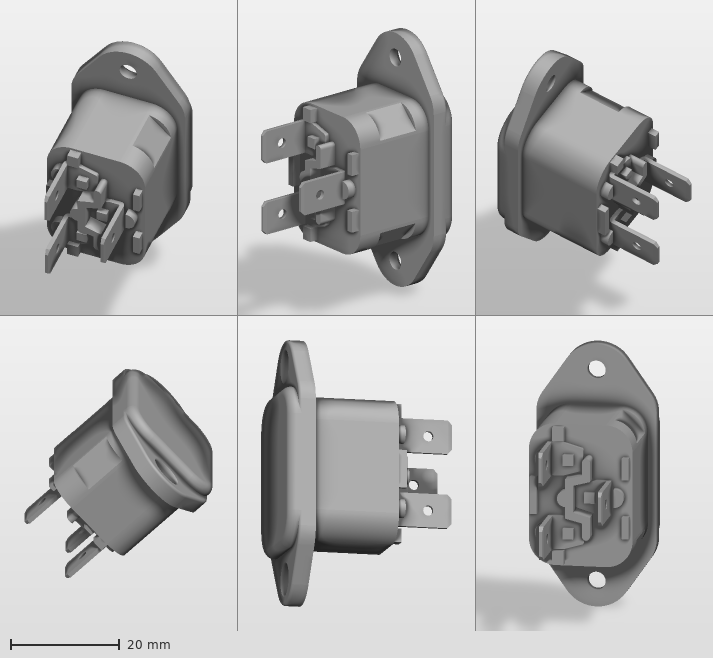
import cadquery as cq
import math


width = 22.5
height = 49.75
flange_thickness = 3.2
flange_edge_radius = 0.5
flange_end_radius = 6.75
flange_corner_radius = 5.95
flange_straight_half = 11.95
mount_hole_diameter = 3.45
countersink_depth = 1.45
mount_hole_z = 20.0

bezel_height = 30.15
bezel_thickness = 5.15
bezel_corner_radius = 5.95
bezel_edge_radius = 1.55

body_width = 19.4
body_height = 26.85
body_length = 16.15
body_corner_radius = 4.98
flat_leg = 4.4
flat_start = 3.0
flat_length = 8.4

pad_height = 1.65
end_pad_width = 2.15
end_pad_length = 2.6
end_pad_x = -4.0
end_pad_z = 11.7
side_pad_width = 1.3
side_pad_x = 8.6
long_pad_length = 7.05
short_pad_length = 4.1
short_pad_z = 5.55
round_pad_radius = 1.75
round_pad_x = 6.55
round_pad_flat_x = 6.45

wall_height = 3.45
wall_outer_x = 2.35
wall_inner_x = 0.9
wall_arm_end_z = 7.75
wall_arm_outer_z = 3.4
wall_arm_inner_z = 4.55
wall_bridge_left_x = -2.3
wall_bridge_right_x = -0.8
wall_bridge_outer_z = 3.75
wall_bridge_inner_z = 2.55
wall_bulge_radius = 1.55

terminal_pitch = 6.95
terminal_width = 6.3
terminal_thickness = 0.85
terminal_gap = 0.15
terminal_foot_length = 6.7
terminal_bend_radius = 0.85
terminal_tip_y = 27.1
terminal_tip_chamfer = 0.8
terminal_tip_bevel = 0.15
terminal_hole_diameter = 1.9
terminal_hole_y = 22.65
taper_start = 2.9
taper_end_width = 4.1
taper_corner_radius = 0.5
terminal_x = 5.9
upper_terminal_x = 6.05

post_size = 2.0
post_height = 2.25
post_x = 2.0


def prism(start_y, length, outline):
    """Extrude an XZ outline from y = start_y toward -Y; a negative length goes toward +Y."""
    workplane = cq.Workplane("XZ", origin=(0, start_y, 0))
    return outline(workplane).extrude(length)


def rear_block(size_x, size_z, depth, x, z):
    """Rectangular block standing on the rear face of the body."""
    return prism(-body_length, depth, lambda wp: wp.center(x, z).rect(size_x, size_z))


def flange():
    corner_x = width / 2 - flange_corner_radius
    end_z = height / 2 - flange_end_radius
    delta_z = end_z - flange_straight_half
    angle = math.atan2(delta_z, corner_x)
    distance = math.hypot(corner_x, delta_z)
    normal = math.acos((flange_end_radius - flange_corner_radius) / distance) - angle

    def on_corner(theta):
        return (
            corner_x + flange_corner_radius * math.cos(theta),
            flange_straight_half + flange_corner_radius * math.sin(theta),
        )

    end_point = (flange_end_radius * math.cos(normal), end_z + flange_end_radius * math.sin(normal))
    corner_end = on_corner(normal)
    corner_mid = on_corner(normal / 2)

    def outline(wp):
        return (
            wp.moveTo(width / 2, -flange_straight_half)
            .lineTo(width / 2, flange_straight_half)
            .threePointArc(corner_mid, corner_end)
            .lineTo(*end_point)
            .threePointArc((0, height / 2), (-end_point[0], end_point[1]))
            .lineTo(-corner_end[0], corner_end[1])
            .threePointArc((-corner_mid[0], corner_mid[1]), (-width / 2, flange_straight_half))
            .lineTo(-width / 2, -flange_straight_half)
            .threePointArc((-corner_mid[0], -corner_mid[1]), (-corner_end[0], -corner_end[1]))
            .lineTo(-end_point[0], -end_point[1])
            .threePointArc((0, -height / 2), (end_point[0], -end_point[1]))
            .lineTo(corner_end[0], -corner_end[1])
            .threePointArc((corner_mid[0], -corner_mid[1]), (width / 2, -flange_straight_half))
            .close()
        )

    plate = prism(0, -flange_thickness, outline)
    return plate.faces(">Y").edges().fillet(flange_edge_radius)


def mount_hole(z):
    """Through hole with a 90 degree countersink on the +Y face of the flange."""
    radius = mount_hole_diameter / 2
    sink_radius = radius + countersink_depth
    profile = [
        (0, 0),
        (radius, 0),
        (radius, flange_thickness - countersink_depth),
        (sink_radius, flange_thickness),
        (0, flange_thickness),
    ]
    hole = cq.Workplane("XY").polyline(profile).close().revolve(360, (0, 0), (0, 1))
    return hole.translate((0, 0, z))


def bezel():
    block = prism(0, -bezel_thickness, lambda wp: wp.rect(width, bezel_height))
    rounded = block.edges("|Y").fillet(bezel_corner_radius)
    return rounded.faces(">Y").edges().fillet(bezel_edge_radius)


def body():
    block = prism(0, body_length, lambda wp: wp.rect(body_width, body_height))
    block = block.edges("|Y").fillet(body_corner_radius)
    x = body_width / 2
    for side in (1, -1):
        z = side * body_height / 2
        corner = [(x, z), (x - flat_leg, z), (x, z - side * flat_leg)]
        block = block.cut(prism(-flat_start, flat_length, lambda wp: wp.polyline(corner).close()))
    return block


def round_pad(side, z):
    """Half-round pad on the given X side (1 or -1), flat toward the terminal."""
    center_x = side * round_pad_x
    disc = prism(-body_length, pad_height, lambda wp: wp.center(center_x, z).circle(round_pad_radius))
    span = 2 * round_pad_radius
    keep = rear_block(span, span, pad_height, side * (round_pad_flat_x + span / 2), z)
    return disc.intersect(keep)


def pads():
    solids = [rear_block(side_pad_width, long_pad_length, pad_height, -side_pad_x, 0), round_pad(1, 0)]
    for side in (1, -1):
        end_z = side * end_pad_z
        short_z = side * short_pad_z
        solids.append(rear_block(end_pad_width, end_pad_length, pad_height, end_pad_x, end_z))
        solids.append(rear_block(side_pad_width, short_pad_length, pad_height, side_pad_x, short_z))
        solids.append(round_pad(-1, side * terminal_pitch))
    return solids


def insulating_wall():
    arm_radius = (wall_outer_x - wall_inner_x) / 2
    arm_x = (wall_outer_x + wall_inner_x) / 2
    arm_tangent_z = wall_arm_end_z - arm_radius

    def outline(wp):
        return (
            wp.moveTo(wall_bridge_right_x, -wall_bridge_inner_z)
            .lineTo(wall_bridge_right_x, wall_bridge_inner_z)
            .lineTo(wall_outer_x, wall_arm_outer_z)
            .lineTo(wall_outer_x, arm_tangent_z)
            .threePointArc((arm_x, wall_arm_end_z), (wall_inner_x, arm_tangent_z))
            .lineTo(wall_inner_x, wall_arm_inner_z)
            .lineTo(wall_bridge_left_x, wall_bridge_outer_z)
            .lineTo(wall_bridge_left_x, wall_bulge_radius)
            .threePointArc(
                (wall_bridge_left_x - wall_bulge_radius, 0), (wall_bridge_left_x, -wall_bulge_radius)
            )
            .lineTo(wall_bridge_left_x, -wall_bridge_outer_z)
            .lineTo(wall_inner_x, -wall_arm_inner_z)
            .lineTo(wall_inner_x, -arm_tangent_z)
            .threePointArc((arm_x, -wall_arm_end_z), (wall_outer_x, -arm_tangent_z))
            .lineTo(wall_outer_x, -wall_arm_outer_z)
            .close()
        )

    return prism(-body_length, wall_height, outline)


def terminal():
    """L-shaped blade terminal with the outside of its leg at x = 0 and its foot toward +X."""
    foot_y = -body_length - terminal_gap
    foot_inner_y = foot_y - terminal_thickness
    bevel_y = -terminal_tip_y + terminal_tip_chamfer
    half_width = terminal_width / 2

    side_profile = [
        (0, foot_y),
        (terminal_foot_length, foot_y),
        (terminal_foot_length, foot_inner_y),
        (terminal_thickness, foot_inner_y),
        (terminal_thickness, bevel_y),
        (terminal_thickness - terminal_tip_bevel, -terminal_tip_y),
        (terminal_tip_bevel, -terminal_tip_y),
        (0, bevel_y),
    ]
    strip = cq.Workplane("XY").polyline(side_profile).close().extrude(half_width, both=True)
    strip = strip.edges("|Z and <X and >Y").fillet(terminal_bend_radius)

    foot_outline = [
        (0, half_width),
        (taper_start, half_width),
        (terminal_foot_length, taper_end_width / 2),
        (terminal_foot_length, -taper_end_width / 2),
        (taper_start, -half_width),
        (0, -half_width),
    ]
    tapered = prism(0, terminal_tip_y, lambda wp: wp.polyline(foot_outline).close())
    tapered = tapered.edges("|Y and >X").fillet(taper_corner_radius)

    tip_y = -terminal_tip_y
    leg_outline = [
        (foot_y, half_width),
        (bevel_y, half_width),
        (tip_y, half_width - terminal_tip_chamfer),
        (tip_y, terminal_tip_chamfer - half_width),
        (bevel_y, -half_width),
        (foot_y, -half_width),
    ]
    chamfered = cq.Workplane("YZ").polyline(leg_outline).close().extrude(terminal_foot_length)

    blade = strip.intersect(tapered).intersect(chamfered)
    hole = (
        cq.Workplane("YZ")
        .center(-terminal_hole_y, 0)
        .circle(terminal_hole_diameter / 2)
        .extrude(terminal_thickness)
    )
    foot_slot = rear_block(post_size, post_size, post_height, terminal_x - post_x, 0)
    return blade.cut(hole).cut(foot_slot)


def terminals_and_posts():
    blade = terminal()
    solids = [
        blade.translate((-upper_terminal_x, 0, terminal_pitch)),
        blade.translate((-terminal_x, 0, -terminal_pitch)),
        blade.mirror("YZ").translate((terminal_x, 0, 0)),
    ]
    for x, z in [(-post_x, terminal_pitch), (-post_x, -terminal_pitch), (post_x, 0)]:
        solids.append(rear_block(post_size, post_size, post_height, x, z))
    return solids


result = flange().union(bezel()).union(body())
for hole_z in (mount_hole_z, -mount_hole_z):
    result = result.cut(mount_hole(hole_z))
for feature in pads() + [insulating_wall()] + terminals_and_posts():
    result = result.union(feature)